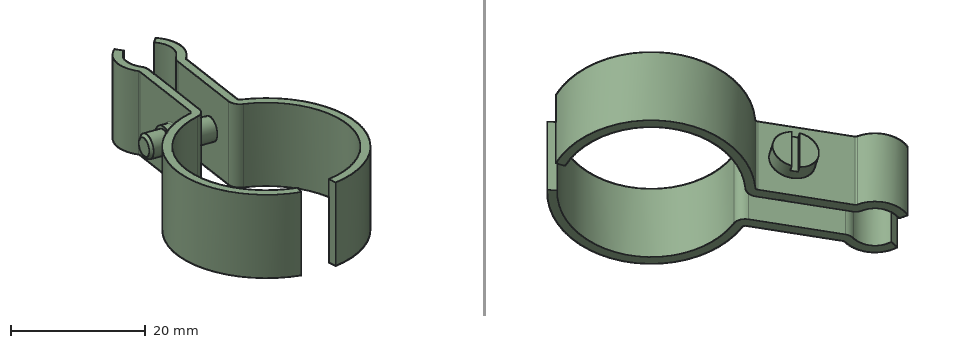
import cadquery as cq
import math

overall_length = 53.5
strip_width = 14.0
thickness = 1.5
half_gap = 2.5
bend_radius = 0.5
flat_outer = half_gap + thickness

ring_outer = 15.49
ring_inner = ring_outer - thickness
ring_end_angle = 11.0

lip_inner = 4.0
lip_outer = lip_inner + thickness
lip_end_angle = 140.0
lip_x = (ring_outer * math.cos(math.radians(ring_end_angle)) - overall_length
         - lip_outer * math.cos(math.radians(lip_end_angle)))

screw_x = -20.55
shank_radius = 2.005
screw_tip_y = -8.96
tip_chamfer = 0.5
head_radius = 3.55
head_height = 2.5
slot_width = 1.2
slot_depth = 1.0
collar_radius = 2.5
collar_height = 1.55
collar_root_fillet = 0.2


def polar(center_x, radius, degrees):
    """Point on a circle whose centre lies on the mid plane."""
    angle = math.radians(degrees)
    return (center_x + radius * math.cos(angle), radius * math.sin(angle))


def bend_geometry(circle_x, circle_outer, side):
    """Bend centre X and the angle, about the circle, at which its arc joins the bend.

    side is +1 when the bend lies toward +X of the circle, -1 toward -X.
    """
    center_y = flat_outer + bend_radius
    offset_x = side * math.sqrt((circle_outer + bend_radius) ** 2 - center_y ** 2)
    return circle_x + offset_x, math.degrees(math.atan2(center_y, offset_x))


def bend_middle(bend_x, radius, join_angle):
    """Middle point of a bend that turns from the join angle to straight down."""
    middle = math.radians((join_angle + 180 + 270) / 2)
    return (bend_x + radius * math.cos(middle),
            flat_outer + bend_radius + radius * math.sin(middle))


def build_strap():
    """Rear strap: ring half, flat and lip, bent from one strip."""
    lip_bend_x, lip_join = bend_geometry(lip_x, lip_outer, 1)
    ring_bend_x, ring_join = bend_geometry(0, ring_outer, -1)
    wide_bend = bend_radius + thickness
    lip_middle = (lip_end_angle + lip_join) / 2
    ring_middle = (ring_end_angle + ring_join) / 2
    outline = (
        cq.Workplane("XY")
        .moveTo(*polar(lip_x, lip_outer, lip_end_angle))
        .threePointArc(polar(lip_x, lip_outer, lip_middle), polar(lip_x, lip_outer, lip_join))
        .threePointArc(bend_middle(lip_bend_x, bend_radius, lip_join), (lip_bend_x, flat_outer))
        .lineTo(ring_bend_x, flat_outer)
        .threePointArc(bend_middle(ring_bend_x, bend_radius, ring_join), polar(0, ring_outer, ring_join))
        .threePointArc(polar(0, ring_outer, ring_middle), polar(0, ring_outer, ring_end_angle))
        .lineTo(*polar(0, ring_inner, ring_end_angle))
        .threePointArc(polar(0, ring_inner, ring_middle), polar(0, ring_inner, ring_join))
        .threePointArc(bend_middle(ring_bend_x, wide_bend, ring_join), (ring_bend_x, half_gap))
        .lineTo(lip_bend_x, half_gap)
        .threePointArc(bend_middle(lip_bend_x, wide_bend, lip_join), polar(lip_x, lip_inner, lip_join))
        .threePointArc(polar(lip_x, lip_inner, lip_middle), polar(lip_x, lip_inner, lip_end_angle))
        .close()
    )
    return outline.extrude(strip_width / 2, both=True)


def rod(radius, start_y, length):
    """Cylinder on the screw axis, running toward -Y from start_y."""
    return cq.Workplane("XZ", origin=(screw_x, start_y, 0)).circle(radius).extrude(length)


def cut_screw_hole(strap):
    return strap.cut(rod(shank_radius, ring_outer, 2 * ring_outer))


def build_front_strap(rear_blank):
    """Mirrored strap with a filleted collar around its screw hole."""
    collar_base_y = -flat_outer
    root_radius = collar_radius + collar_root_fillet
    fillet_center_y = collar_base_y - collar_root_fillet
    fillet_reach = collar_root_fillet * math.sqrt(0.5)
    collar = (
        cq.Workplane("XY", origin=(screw_x, 0, 0))
        .moveTo(0, collar_base_y)
        .lineTo(root_radius, collar_base_y)
        .threePointArc((root_radius - fillet_reach, fillet_center_y + fillet_reach),
                       (collar_radius, fillet_center_y))
        .lineTo(collar_radius, collar_base_y - collar_height)
        .lineTo(0, collar_base_y - collar_height)
        .close()
        .revolve(360, (0, 0), (0, 1))
    )
    return cut_screw_hole(rear_blank.mirror("XZ").union(collar))


def build_screw():
    """Cheese-head screw with a chamfered tip; its head rests on the rear strap."""
    shank = rod(shank_radius, flat_outer, flat_outer - screw_tip_y).faces("<Y").chamfer(tip_chamfer)
    head_top = flat_outer + head_height
    head = rod(head_radius, head_top, head_height)
    slot = (
        cq.Workplane("XZ", origin=(screw_x, head_top, 0))
        .rect(slot_width, 2 * head_radius)
        .extrude(slot_depth)
    )
    return shank.union(head).cut(slot)


strap_blank = build_strap()
rear_strap = cut_screw_hole(strap_blank)
front_strap = build_front_strap(strap_blank)
screw = build_screw()

bodies = [rear_strap, front_strap, screw]
result = cq.Compound.makeCompound([body.solids().val() for body in bodies])